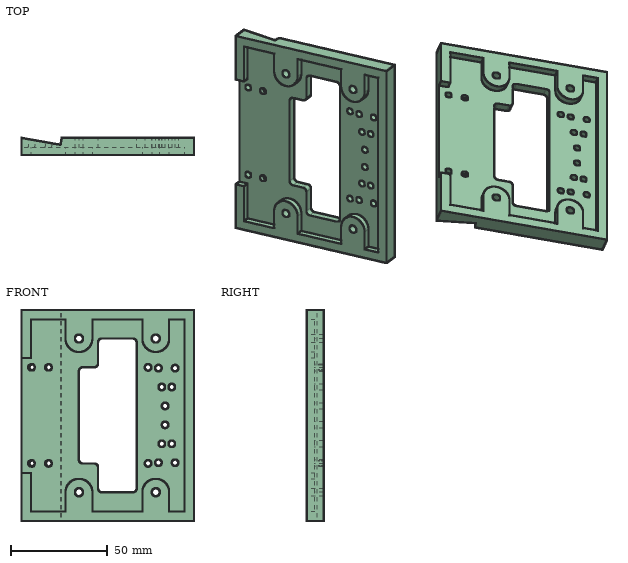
import cadquery as cq
import math

PLATE_LENGTH = 90.0
PLATE_THICKNESS = 9.0
PLATE_HEIGHT = 110.0
MID_HEIGHT = PLATE_HEIGHT / 2

RIM_WIDTH = 5.0
POCKET_DEPTH = 4.0
RIM_GAP_HEIGHT = 60.0

BOSS_DIAMETER = 14.0
BOSS_HOLE_DIAMETER = 4.1
BOSS_XS = (30.0, 70.0)
BOSS_EDGE_DISTANCE = 15.0

WINDOW_LEFT = 30.0
WINDOW_STEP = 40.0
WINDOW_RIGHT = 60.0
WINDOW_LOW_SIDE_HEIGHT = 50.0
WINDOW_TALL_SIDE_HEIGHT = 80.0
WINDOW_CORNER_RADIUS = 2.0

SEAT_ANGLE = 10.0
SEAT_WIDTH = 21.0

SCREW_DIAMETER = 3.3
SCREW_ROW_SPACING = 50.0
SEAT_SCREW_DISTANCE = 6.0
SEAT_SCREW_PITCH = 8.7
STRAIGHT_SCREW_X = 66.0

CROSS_X = 75.73
CROSS_ANGLE = 10.0
CROSS_OFFSETS = (-25.0, -15.0, 5.0, 15.0, 25.0)

SEAT_COS = math.cos(math.radians(SEAT_ANGLE))
SEAT_SIN = math.sin(math.radians(SEAT_ANGLE))
SEAT_LENGTH = SEAT_WIDTH * SEAT_COS
SCREW_ROW_ZS = (MID_HEIGHT - SCREW_ROW_SPACING / 2, MID_HEIGHT + SCREW_ROW_SPACING / 2)
BOSS_CENTERS = [
    (x, z)
    for x in BOSS_XS
    for z in (BOSS_EDGE_DISTANCE, PLATE_HEIGHT - BOSS_EDGE_DISTANCE)
]


def block(x_min, x_max, z_min, z_max, depth):
    """Box that starts on the front face (Y = 0) and runs back by depth."""
    box = cq.Workplane("XY").box(x_max - x_min, depth, z_max - z_min, centered=False)
    return box.translate((x_min, 0, z_min))


def cylinders(centers, diameter, depth):
    """Cylinders along Y from the front face, at the given (x, z) centres."""
    return cq.Workplane("XZ").pushPoints(centers).circle(diameter / 2).extrude(-depth)


def bosses():
    """Round-ended tongues that join the upper and lower rims."""
    tongues = cylinders(BOSS_CENTERS, BOSS_DIAMETER, POCKET_DEPTH)
    radius = BOSS_DIAMETER / 2
    for x in BOSS_XS:
        lower = block(x - radius, x + radius, 0, BOSS_EDGE_DISTANCE, POCKET_DEPTH)
        upper = lower.translate((0, 0, PLATE_HEIGHT - BOSS_EDGE_DISTANCE))
        tongues = tongues.union(lower).union(upper)
    return tongues


def front_pocket():
    pocket = block(RIM_WIDTH, PLATE_LENGTH - RIM_WIDTH, RIM_WIDTH, PLATE_HEIGHT - RIM_WIDTH, POCKET_DEPTH)
    gap_bottom = MID_HEIGHT - RIM_GAP_HEIGHT / 2
    rim_gap = block(0, RIM_WIDTH, gap_bottom, gap_bottom + RIM_GAP_HEIGHT, POCKET_DEPTH)
    return pocket.union(rim_gap).cut(bosses())


def window():
    """Through opening: a tall right part and a shorter left part, all corners rounded."""
    low_half = WINDOW_LOW_SIDE_HEIGHT / 2
    tall_half = WINDOW_TALL_SIDE_HEIGHT / 2
    low_side = block(WINDOW_LEFT, WINDOW_STEP, MID_HEIGHT - low_half, MID_HEIGHT + low_half, PLATE_THICKNESS)
    tall_side = block(WINDOW_STEP, WINDOW_RIGHT, MID_HEIGHT - tall_half, MID_HEIGHT + tall_half, PLATE_THICKNESS)
    return tall_side.union(low_side).edges("|Y").fillet(WINDOW_CORNER_RADIUS)


def inclined_seat():
    """Wedge with a floor sloping from the left back edge and an end wall square to that floor."""
    corner = (SEAT_LENGTH * SEAT_COS, PLATE_THICKNESS - SEAT_LENGTH * SEAT_SIN)
    wall_top = (SEAT_WIDTH, PLATE_THICKNESS)
    profile = cq.Workplane("XY").moveTo(0, PLATE_THICKNESS).lineTo(*corner).lineTo(*wall_top).close()
    return profile.extrude(PLATE_HEIGHT)


def seat_screw_holes():
    """Holes square to the sloping seat, running through to the pocket floor."""
    seat_plane = cq.Plane(
        origin=(0, PLATE_THICKNESS, 0),
        xDir=(SEAT_COS, -SEAT_SIN, 0),
        normal=(SEAT_SIN, SEAT_COS, 0),
    )
    distances = (SEAT_SCREW_DISTANCE, SEAT_SCREW_DISTANCE + SEAT_SCREW_PITCH)
    centers = [(distance, -z) for distance in distances for z in SCREW_ROW_ZS]
    return cq.Workplane(seat_plane).pushPoints(centers).circle(SCREW_DIAMETER / 2).extrude(-PLATE_THICKNESS)


def straight_screw_holes():
    """One pair of holes beside the window and two lines crossing at the middle height."""
    centers = [(STRAIGHT_SCREW_X, z) for z in SCREW_ROW_ZS]
    lean_sin = math.sin(math.radians(CROSS_ANGLE))
    lean_cos = math.cos(math.radians(CROSS_ANGLE))
    for side in (-1, 1):
        for offset in CROSS_OFFSETS:
            centers.append((CROSS_X - offset * lean_sin, MID_HEIGHT + side * offset * lean_cos))
    return cylinders(centers, SCREW_DIAMETER, PLATE_THICKNESS)


plate = block(0, PLATE_LENGTH, 0, PLATE_HEIGHT, PLATE_THICKNESS)
result = (
    plate.cut(front_pocket())
    .cut(inclined_seat())
    .cut(window())
    .cut(cylinders(BOSS_CENTERS, BOSS_HOLE_DIAMETER, PLATE_THICKNESS))
    .cut(seat_screw_holes())
    .cut(straight_screw_holes())
)